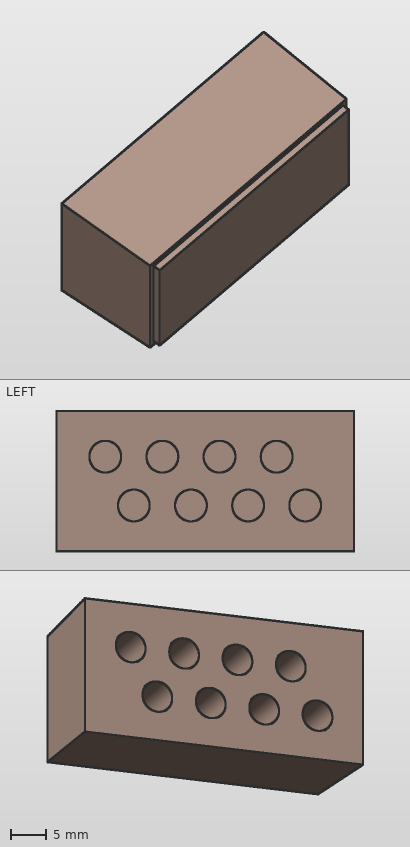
import cadquery as cq
import math

overall_depth = 17.7
length = 42.2
height = 19.9
draft_angle = 2.0

pad_thickness = 1.15
pad_margin = 0.75

hole_diameter = 4.5
holes_per_row = 4
hole_pitch = 8.1
row_spacing = 6.9

block_depth = overall_depth - pad_thickness
taper_inset = block_depth * math.tan(math.radians(draft_angle))
hole_depth = block_depth
row_shift = hole_pitch / 4


def make_block():
    return cq.Workplane("YZ").rect(length, height).extrude(block_depth, taper=draft_angle)


def make_pad():
    side_inset = taper_inset + pad_margin
    return (
        cq.Workplane("YZ", origin=(block_depth, 0, 0))
        .rect(length - 2 * side_inset, height - 2 * side_inset)
        .extrude(pad_thickness)
    )


def make_hole_row(center_y, center_z):
    return (
        cq.Workplane("YZ", origin=(0, center_y, center_z))
        .rarray(hole_pitch, 0.42, holes_per_row, 1)
        .circle(hole_diameter / 2)
        .extrude(hole_depth)
    )


upper_row = make_hole_row(row_shift, row_spacing / 2)
lower_row = make_hole_row(-row_shift, -row_spacing / 2)

result = make_block().union(make_pad()).cut(upper_row).cut(lower_row)